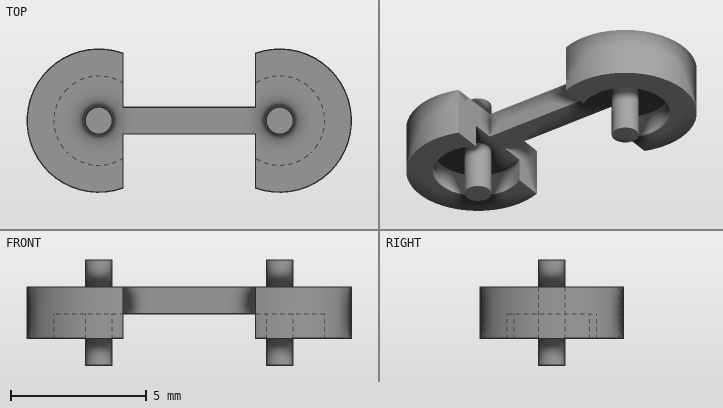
import cadquery as cq

length = 12.0
disc_diameter = 5.3
disc_height = 1.91
flat_offset = 0.9
pin_diameter = 1.0
pin_projection = 1.0
bar_width = 1.0
bar_height = 1.0
wall_thickness = 1.0

disc_radius = disc_diameter / 2
axis_x = length / 2 - disc_radius
flat_x = axis_x - flat_offset
pocket_radius = disc_radius - wall_thickness
pocket_depth = disc_height - bar_height
pin_length = disc_height + 2 * pin_projection


def end_disc(side):
    """Disc with a flat inner edge, a round pocket underneath and a pin; side is -1 or 1."""
    disc = cq.Workplane("XY").center(side * axis_x, 0).circle(disc_radius).extrude(disc_height)
    pocket = cq.Workplane("XY").center(side * axis_x, 0).circle(pocket_radius).extrude(pocket_depth)
    gap = cq.Workplane("XY").rect(2 * flat_x, disc_diameter).extrude(disc_height)
    pin = (
        cq.Workplane("XY", origin=(side * axis_x, 0, -pin_projection))
        .circle(pin_diameter / 2)
        .extrude(pin_length)
    )
    return disc.cut(pocket).cut(gap).union(pin)


bar = (
    cq.Workplane("XY", origin=(0, 0, disc_height - bar_height))
    .rect(2 * flat_x, bar_width)
    .extrude(bar_height)
)

result = bar.union(end_disc(-1)).union(end_disc(1))